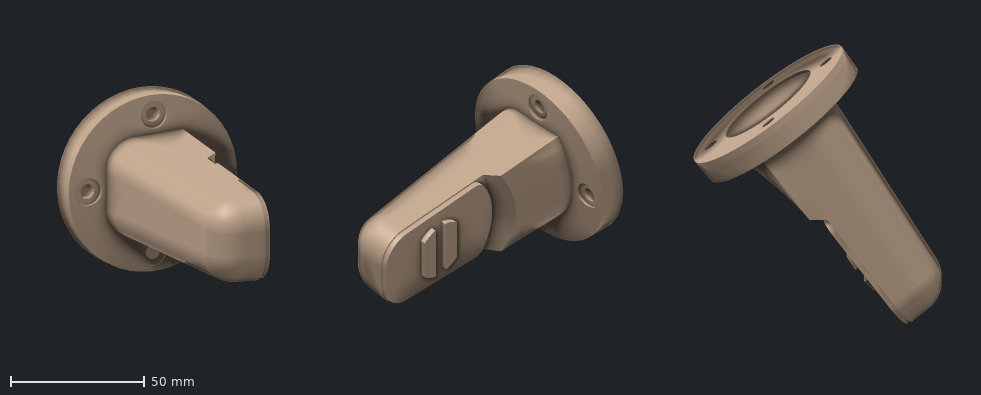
import cadquery as cq
import math

total_length = 98.7

flange_diameter = 70.0
rim_diameter = 69.2
plate_thickness = 2.8
rim_x = 10.0
flange_x = 11.7
cone_tip_diameter = 40.3
recess_diameter = 40.0
recess_depth = 1.1

screw_count = 4
screw_circle_diameter = 54.0
screw_hole_diameter = 5.6
spotface_diameter = 10.5

arm_root_x = 4.9
arm_half_width = 20.1
draft = 2.0
belly_drop = 19.8
belly_slope = 4.8
arm_fillet = 12.0
crown_edge_y = 11.6
crown_rise = 8.2
crown_slope = 13.0
crown_end_x = 41.9

seat_y = 6.3
seat_centre_x = 91.1
seat_radius = 49.35
seat_wall_run = 0.75

cover_thickness = 2.2
cover_inset = 0.6
cover_start_x = 42.6
cover_end_radius = 29.6
cover_corner_radius = 5.2

boss_x = 71.6
boss_radius = 12.0
boss_length = 16.8
boss_slot_width = 4.9
boss_slot_fillet = 0.6
boss_height = 2.2

draft_run = math.tan(math.radians(draft))
arm_end_x = total_length + (crown_edge_y - seat_y) * draft_run
cover_top_y = seat_y + cover_thickness
arm_depth = 39.5
seat_cut_height = 19.7


def plan_plane(y):
    """Plane at height y whose local axes are X and Z and whose normal is -Y."""
    return cq.Workplane("XZ", origin=(0, y, 0))


def between_x(start_x, end_x):
    """Selector for everything between two X positions, at any height or width."""
    reach = flange_diameter
    return cq.selectors.BoxSelector((start_x, -reach, -reach), (end_x, reach, reach))


def side_half_width(x):
    """Half width of the arm at its crown edge."""
    return arm_half_width - (x - flange_x) * draft_run


def make_flange():
    """Round flange with a conical front face and a shallow recess in its back."""
    profile = [
        (0, 0),
        (0, flange_diameter / 2),
        (plate_thickness, flange_diameter / 2),
        (rim_x, rim_diameter / 2),
        (flange_x, cone_tip_diameter / 2),
        (flange_x, 0),
    ]
    flange = cq.Workplane("XY").polyline(profile).close().revolve(360, (0, 0, 0), (1, 0, 0))
    recess = cq.Workplane("YZ").circle(recess_diameter / 2).extrude(recess_depth)
    return flange.cut(recess)


def screw_cutter(start_x, end_x, diameter):
    """One cylinder per screw, running along X."""
    return (
        cq.Workplane("YZ", origin=(start_x, 0, 0))
        .polarArray(screw_circle_diameter / 2, 0, 360, screw_count)
        .circle(diameter / 2)
        .extrude(end_x - start_x)
    )


def drafted_block():
    """Sides and end of the arm, sharp-edged and deeper than the finished arm."""
    root = side_half_width(arm_root_x)
    tip = side_half_width(arm_end_x)
    outline = [(arm_root_x, -root), (arm_end_x, -tip), (arm_end_x, tip), (arm_root_x, root)]
    return plan_plane(crown_edge_y).polyline(outline).close().extrude(arm_depth, taper=draft)


def make_trunk():
    """Drafted arm below the crown edge, with all lower and end edges rounded."""
    slope_run = math.tan(math.radians(belly_slope))
    belly_root = -belly_drop - flange_x * slope_run
    belly_tip = belly_root + 2 * total_length * slope_run
    below = (
        cq.Workplane("XY")
        .polyline([(0, belly_root), (2 * total_length, belly_tip),
                   (2 * total_length, -2 * arm_depth), (0, -2 * arm_depth)])
        .close()
        .extrude(total_length, both=True)
    )
    trunk = drafted_block().cut(below)
    root_edges = trunk.faces("<X").edges()
    top_edges = trunk.faces(">Y").edges()
    kept_sharp = root_edges.vals() + top_edges.vals()
    rounded = [e for e in trunk.edges().vals() if not any(e.isSame(k) for k in kept_sharp)]
    return trunk.newObject(rounded).fillet(arm_fillet)


def crown_section(x):
    """Arc-topped section standing on the crown edge."""
    half = side_half_width(x)
    rise = crown_rise - (x - flange_x) * math.tan(math.radians(crown_slope))
    return (
        cq.Workplane("YZ", origin=(x, 0, 0))
        .moveTo(crown_edge_y, -half)
        .threePointArc((crown_edge_y + rise, 0), (crown_edge_y, half))
        .close()
        .wires()
        .val()
    )


def make_crown():
    sections = [crown_section(rim_x), crown_section(crown_end_x)]
    return cq.Workplane(cq.Solid.makeLoft(sections, True))


def seat_cutter():
    """Flared cone that clears everything above the seat."""
    cone = cq.Solid.makeCone(
        seat_radius,
        seat_radius + seat_cut_height * seat_wall_run,
        seat_cut_height,
        pnt=cq.Vector(seat_centre_x, seat_y, 0),
        dir=cq.Vector(0, 1, 0),
    )
    return cq.Workplane(cone)


def make_cover():
    """Lid set in slightly from the arm, with an arc-shaped inner end."""
    end_x = total_length - cover_inset
    seat_narrowing = (crown_edge_y - seat_y) * draft_run + cover_inset
    start_half = side_half_width(cover_start_x) - seat_narrowing
    end_half = side_half_width(end_x) - seat_narrowing
    outline = [
        (cover_start_x, -start_half),
        (end_x, -end_half),
        (end_x, end_half),
        (cover_start_x, start_half),
    ]
    cover = plan_plane(seat_y).polyline(outline).close().extrude(-cover_thickness)
    arc_centre_x = cover_start_x + cover_end_radius
    nose = plan_plane(seat_y).center(arc_centre_x, 0).circle(cover_end_radius)
    nose = nose.extrude(-cover_thickness)
    beyond_nose = plan_plane(seat_y).center((arc_centre_x + end_x) / 2, 0)
    beyond_nose = beyond_nose.rect(end_x - arc_centre_x, 2 * arm_half_width).extrude(-cover_thickness)
    cover = cover.intersect(nose.union(beyond_nose))
    cover = cover.edges("|Y and >X").fillet(arm_fillet - cover_inset)
    inner_corners = between_x(cover_start_x, boss_x)
    return cover.edges("|Y").edges(inner_corners).fillet(cover_corner_radius)


def make_boss():
    """Disc with flats at both ends, split by a slot along Z."""
    base = plan_plane(cover_top_y).center(boss_x, 0)
    disc = base.circle(boss_radius).extrude(-boss_height)
    flats = base.rect(boss_length, 2 * boss_radius).extrude(-boss_height)
    slot = base.rect(boss_slot_width, 3 * boss_radius).extrude(-boss_height)
    slot_corners = between_x(boss_x - boss_slot_width, boss_x + boss_slot_width)
    boss = disc.intersect(flats).cut(slot)
    return boss.edges("|Y").edges(slot_corners).fillet(boss_slot_fillet)


arm = make_trunk().union(make_crown()).cut(seat_cutter())
screw_holes = screw_cutter(0, flange_x, screw_hole_diameter)
spotfaces = screw_cutter(rim_x, flange_x, spotface_diameter)
flange = make_flange().cut(screw_holes).cut(spotfaces)
result = flange.union(arm).union(make_cover()).union(make_boss())